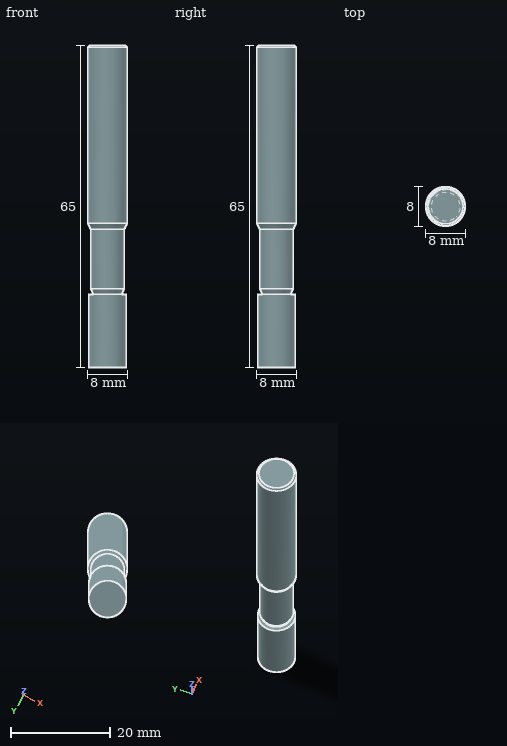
import cadquery as cq

TOTAL_LENGTH = 65.0
SHANK_DIAMETER = 8.0
NECK_DIAMETER = 6.8
NECK_END_DIAMETER = 5.8
TIP_DIAMETER = 7.6

TIP_LENGTH = 14.75
NECK_TAPER_LENGTH = 1.2
NECK_LENGTH = 11.95
SHOULDER_TAPER_LENGTH = 1.2
TOP_CHAMFER = 0.45

neck_bottom = TIP_LENGTH + NECK_TAPER_LENGTH
neck_top = neck_bottom + NECK_LENGTH
shank_bottom = neck_top + SHOULDER_TAPER_LENGTH


def make_tip():
    """Plain cylindrical tip that the neck stands on."""
    return cq.Workplane("XY").circle(TIP_DIAMETER / 2).extrude(TIP_LENGTH)


def make_holder():
    """Shank with a chamfered top, stepping down through tapers to the neck and its narrow end."""
    shank_radius = SHANK_DIAMETER / 2
    neck_radius = NECK_DIAMETER / 2
    half_profile = [
        (0, TIP_LENGTH),
        (NECK_END_DIAMETER / 2, TIP_LENGTH),
        (neck_radius, neck_bottom),
        (neck_radius, neck_top),
        (shank_radius, shank_bottom),
        (shank_radius, TOTAL_LENGTH - TOP_CHAMFER),
        (shank_radius - TOP_CHAMFER, TOTAL_LENGTH),
        (0, TOTAL_LENGTH),
    ]
    return cq.Workplane("XZ").polyline(half_profile).close().revolve(360, (0, 0), (0, 1))


tip = make_tip()
holder = make_holder()

result = cq.Compound.makeCompound([tip.val(), holder.val()])